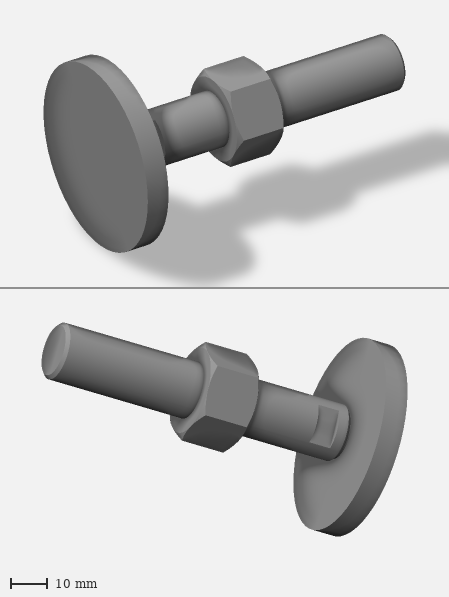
import cadquery as cq
import math

TOTAL_LENGTH = 94.0

PLATE_DIAMETER = 54.0
PLATE_THICKNESS = 6.6

ROD_DIAMETER = 16.0
ROD_TIP_CHAMFER = 0.9
ROD_BASE_CHAMFER = 1.0
NECK_LENGTH = 0.4

FLATS_WIDTH = 12.0
FLATS_START = 10.9
FLATS_LENGTH = 6.3
FLATS_ANGLE = 30.0

NUT_ACROSS_FLATS = 24.0
NUT_START = 37.5
NUT_LENGTH = 14.8
NUT_CHAMFER_ANGLE = 30.0
NUT_SIDES = 6
NUT_ACROSS_CORNERS = NUT_ACROSS_FLATS / math.cos(math.pi / NUT_SIDES)


def section_at(y):
    """Workplane across the axis at y, drawing X and Z and extruding towards +Y."""
    return cq.Workplane(cq.Plane(origin=(0, y, 0), xDir=(1, 0, 0), normal=(0, 1, 0)))


def make_plate():
    return section_at(0).circle(PLATE_DIAMETER / 2).extrude(PLATE_THICKNESS)


def cut_wrench_flats(rod):
    """Cut two opposite flats into the rod."""
    band = section_at(FLATS_START).circle(ROD_DIAMETER).extrude(FLATS_LENGTH)
    core = (
        section_at(FLATS_START)
        .rect(FLATS_WIDTH, 2 * ROD_DIAMETER)
        .extrude(FLATS_LENGTH)
        .rotate((0, 0, 0), (0, 1, 0), -FLATS_ANGLE)
    )
    return rod.cut(band.cut(core))


def make_rod():
    """Round rod, chamfered at both ends, standing on the plate by a short neck."""
    shank_start = PLATE_THICKNESS + NECK_LENGTH
    shank = section_at(shank_start).circle(ROD_DIAMETER / 2).extrude(TOTAL_LENGTH - shank_start)
    shank = shank.faces(">Y").chamfer(ROD_TIP_CHAMFER)
    shank = shank.faces("<Y").chamfer(ROD_BASE_CHAMFER)
    neck_radius = ROD_DIAMETER / 2 - ROD_BASE_CHAMFER
    neck = section_at(PLATE_THICKNESS).circle(neck_radius).extrude(NECK_LENGTH)
    return cut_wrench_flats(shank.union(neck))


def make_nut():
    """Hexagon nut with conical corner chamfers at both ends and a bore for the rod."""
    hexagon = section_at(NUT_START).polygon(NUT_SIDES, NUT_ACROSS_CORNERS).extrude(NUT_LENGTH)
    face_radius = NUT_ACROSS_FLATS / 2
    corner_radius = NUT_ACROSS_CORNERS / 2
    chamfer_height = (corner_radius - face_radius) * math.tan(math.radians(NUT_CHAMFER_ANGLE))
    nut_end = NUT_START + NUT_LENGTH
    chamfer_envelope = (
        cq.Workplane("XY")
        .moveTo(0, NUT_START)
        .lineTo(face_radius, NUT_START)
        .lineTo(corner_radius, NUT_START + chamfer_height)
        .lineTo(corner_radius, nut_end - chamfer_height)
        .lineTo(face_radius, nut_end)
        .lineTo(0, nut_end)
        .close()
        .revolve(360, (0, 0, 0), (0, 1, 0))
    )
    bore = section_at(NUT_START).circle(ROD_DIAMETER / 2).extrude(NUT_LENGTH)
    return hexagon.intersect(chamfer_envelope).cut(bore)


plate = make_plate()
rod = make_rod()
nut = make_nut()

result = cq.Compound.makeCompound([plate.val(), rod.val(), nut.val()])